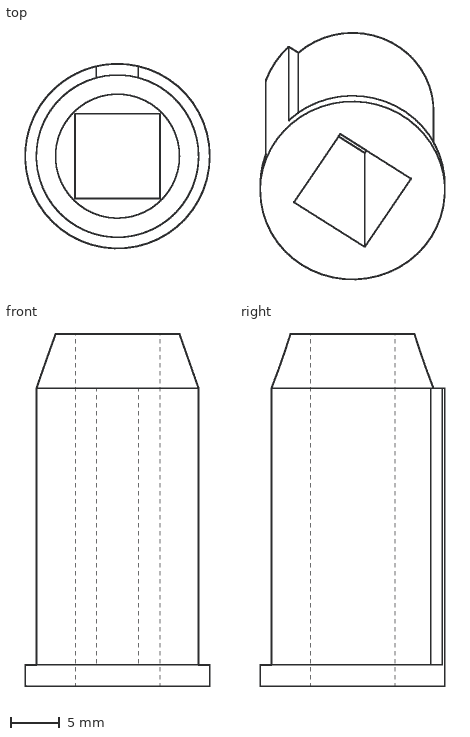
import cadquery as cq

total_height = 36.11
flange_diameter = 18.92
flange_height = 2.2

body_diameter = 16.62
nose_tip_diameter = 12.7
nose_height = 5.57
shoulder_height = total_height - nose_height

key_width = 4.3

square_hole_side = 8.66


def make_sleeve():
    """Flange, cylindrical body and conical nose, revolved about Z."""
    flange_radius = flange_diameter / 2
    body_radius = body_diameter / 2
    return (
        cq.Workplane("XZ")
        .moveTo(0, 0)
        .lineTo(flange_radius, 0)
        .lineTo(flange_radius, flange_height)
        .lineTo(body_radius, flange_height)
        .lineTo(body_radius, shoulder_height)
        .lineTo(nose_tip_diameter / 2, total_height)
        .lineTo(0, total_height)
        .close()
        .revolve(360, (0, 0, 0), (0, 1, 0))
    )


def make_key():
    """Straight key from the base to the shoulder, its outer face rounded to the flange radius."""
    bar = cq.Workplane("XY").box(
        key_width, flange_diameter, shoulder_height, centered=(True, False, False)
    )
    rim_cylinder = cq.Workplane("XY").circle(flange_diameter / 2).extrude(shoulder_height)
    return bar.intersect(rim_cylinder)


def make_square_hole():
    """Square prism running the full height of the part."""
    return cq.Workplane("XY").rect(square_hole_side, square_hole_side).extrude(total_height)


result = make_sleeve().union(make_key()).cut(make_square_hole())